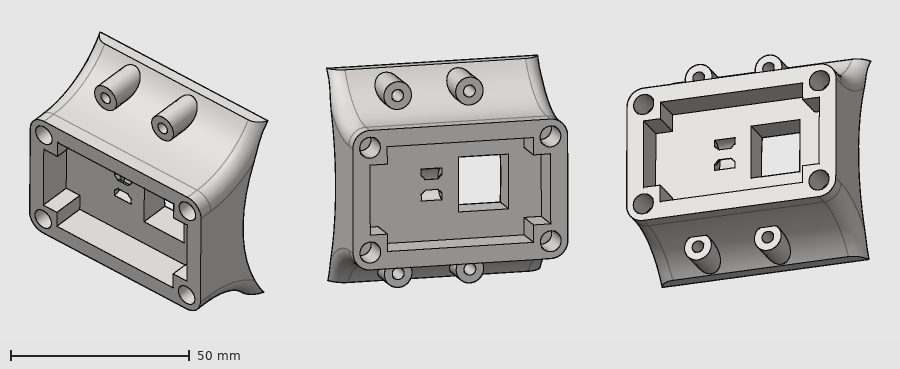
import cadquery as cq
import math

WIDTH = 62.4
HEIGHT = 60.6

TILT = -0.6
BODY_OFFSET_Z = -1.3
FACE_Y = -14.9
FACE_HEIGHT = 40.05
STRAIGHT_DEPTH = 4.25
FLARE_RADIUS = 26.85
FLARE_ANGLE = 75.0
CORNER_RADIUS = 5.0

SADDLE_RADIUS = 49.3
SADDLE_BOTTOM_Y = 3.6

POCKET_DEPTH = 10.0
CORNER_HOLE_DIAMETER = 6.0
CORNER_X = WIDTH / 2 - CORNER_RADIUS
CORNER_Z = FACE_HEIGHT / 2 - CORNER_RADIUS
CORNER_BLOCK = 5.0
FLOOR_Y = FACE_Y + POCKET_DEPTH

WINDOW_WIDTH = 14.55
WINDOW_HEIGHT = 15.7
WINDOW_X = 9.5
WINDOW_Z = 0.55

TUNNEL_WIDTH = 6.05
TUNNEL_OUTER_RADIUS = 4.55
TUNNEL_INNER_RADIUS = 1.5
TUNNEL_CHAMFER = 1.25
TUNNEL_X = -5.6
TUNNEL_Z = 1.05

BOSS_DIAMETER = 8.0
BOSS_HOLE_DIAMETER = 3.45
BOSS_END_Y = -2.0
BOSS_LENGTH = 17.5
BOSS_X_POSITIONS = (-14.6, 6.25)
BOSS_Z_POSITIONS = (26.5, -24.6)
CUT_LENGTH = 62.4


def cylinder_along_y(diameter, x, start_y, z, length):
    return cq.Workplane(cq.Solid.makeCylinder(
        diameter / 2, length, cq.Vector(x, start_y, z), cq.Vector(0, 1, 0)))


def box_from_front(width, height, x, start_y, z, depth):
    return (cq.Workplane("XY").box(width, depth, height)
            .translate((x, start_y + depth / 2, z)))


def flared_block():
    half_height = FACE_HEIGHT / 2
    arc_start_y = FACE_Y + STRAIGHT_DEPTH

    def flare_point(angle):
        turn = math.radians(angle)
        return (arc_start_y + FLARE_RADIUS * math.sin(turn),
                half_height + FLARE_RADIUS * (1 - math.cos(turn)))

    mid_y, mid_z = flare_point(FLARE_ANGLE / 2)
    end_y, end_z = flare_point(FLARE_ANGLE)
    block = (
        cq.Workplane("YZ").workplane(offset=-WIDTH / 2)
        .moveTo(FACE_Y, half_height)
        .lineTo(arc_start_y, half_height)
        .threePointArc((mid_y, mid_z), (end_y, end_z))
        .lineTo(end_y, -end_z)
        .threePointArc((mid_y, -mid_z), (arc_start_y, -half_height))
        .lineTo(FACE_Y, -half_height)
        .close()
        .extrude(WIDTH)
    )
    side_edges = block.faces("<X or >X").edges("not(<Y or >Y)")
    return side_edges.fillet(CORNER_RADIUS)


def pocket():
    cavity = box_from_front(2 * CORNER_X, 2 * CORNER_Z, 0, FACE_Y, 0, POCKET_DEPTH)
    inset = CORNER_BLOCK / 2
    for side_x in (-1, 1):
        for side_z in (-1, 1):
            cavity = cavity.cut(box_from_front(
                CORNER_BLOCK, CORNER_BLOCK, side_x * (CORNER_X - inset),
                FACE_Y, side_z * (CORNER_Z - inset), POCKET_DEPTH))
    return cavity


def strap_tunnel():
    half_width = TUNNEL_WIDTH / 2
    narrow = half_width - TUNNEL_CHAMFER
    shoulder = TUNNEL_INNER_RADIUS + TUNNEL_CHAMFER
    section = [
        (-half_width, TUNNEL_OUTER_RADIUS),
        (half_width, TUNNEL_OUTER_RADIUS),
        (half_width, shoulder),
        (narrow, TUNNEL_INNER_RADIUS),
        (-narrow, TUNNEL_INNER_RADIUS),
        (-half_width, shoulder),
    ]
    ring = cq.Workplane("XY").polyline(section).close().revolve(360, (0, 0), (1, 0))
    return ring.translate((TUNNEL_X, FLOOR_Y, TUNNEL_Z))


boss_places = [(x, z) for x in BOSS_X_POSITIONS for z in BOSS_Z_POSITIONS]

body = flared_block()
for x, z in boss_places:
    body = body.union(cylinder_along_y(
        BOSS_DIAMETER, x, BOSS_END_Y, z, BOSS_LENGTH))
body = body.cut(pocket())
body = body.cut(strap_tunnel())
body = body.cut(box_from_front(
    WINDOW_WIDTH, WINDOW_HEIGHT, WINDOW_X, FACE_Y, WINDOW_Z, CUT_LENGTH))
for x in (-CORNER_X, CORNER_X):
    for z in (-CORNER_Z, CORNER_Z):
        body = body.cut(cylinder_along_y(CORNER_HOLE_DIAMETER, x, FACE_Y, z, POCKET_DEPTH))
for x, z in boss_places:
    body = body.cut(cylinder_along_y(BOSS_HOLE_DIAMETER, x, BOSS_END_Y, z, CUT_LENGTH))

body = body.rotate((0, 0, 0), (1, 0, 0), TILT).translate((0, 0, BODY_OFFSET_Z))

saddle = (
    cq.Workplane("YZ").center(SADDLE_BOTTOM_Y + SADDLE_RADIUS, BODY_OFFSET_Z)
    .circle(SADDLE_RADIUS).extrude(WIDTH, both=True)
)
envelope = cq.Workplane("XY").box(WIDTH, 2 * CUT_LENGTH, HEIGHT)
result = body.cut(saddle).intersect(envelope)